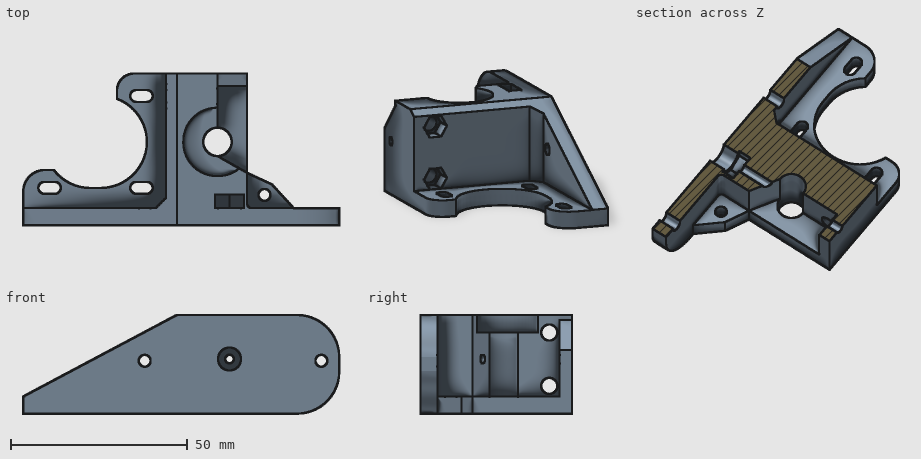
import cadquery as cq
import math

length = 89.5
width = 43.0
height = 28.0
plate_thickness = 4.85
plate_end_radius = 12.0
nose_height = 4.9
slope_top_x = 43.5

base_thickness = 4.85

block_left_x = 40.5
block_right_x = 63.4
corner_web = 3.0
block_root_radius = 1.25

shaft_x = 20.5
shaft_y = 23.6
motor_screw_pitch = 26.0
motor_travel = 3.0
motor_pilot_diameter = 26.0
motor_screw_diameter = 3.3
front_ear_top_y = 15.7
front_ear_radius = 6.2
rear_ear_left_x = 26.5
rear_ear_radius = 5.0

path_x = 55.0
path_y = shaft_y
path_diameter = 8.0
seat_radius = 9.7
seat_depth = 5.0

idler_face_angle = 29.5
rear_wall_thickness = 3.6
rear_wall_low_z = 18.1
lug_shoulder = (70.4, 11.6)
lug_tip_x = 76.6
hinge_x = 68.3
hinge_y = 8.6
hinge_diameter = 3.3

plate_hole_pitch = 50.0
first_plate_hole_x = 34.4
plate_hole_z = 15.0
plate_hole_diameter = 3.3

pivot_x = 58.4
pivot_z = 15.5
pivot_bore_diameter = 6.5
pivot_pilot_diameter = 2.4
pivot_nut_flats = 8.1
pivot_nut_back_y = 8.65

bolt_y = 36.5
bolt_zs = (7.9, 23.0)
bolt_diameter = 4.5
bolt_nut_flats = 6.0
bolt_nut_depth = 5.0


def hex_corner_diameter(flats):
    return flats / math.cos(math.radians(30))


def x_slot(x, y, diameter, depth):
    """Slot through the base, stretched along X by the motor travel."""
    return cq.Workplane("XY").center(x, y).slot2D(diameter + motor_travel, diameter).extrude(depth)


def y_cylinder(x, z, diameter, start_y, end_y):
    plane = cq.Workplane("XZ", origin=(x, start_y, z))
    return plane.circle(diameter / 2).extrude(start_y - end_y)


def side_plate():
    plate = cq.Workplane("XY").box(length, plate_thickness, height, centered=False)
    return plate.edges("|Y and >X").fillet(plate_end_radius)


def base():
    outline = [
        (0, 0),
        (block_right_x, 0),
        (block_right_x, width),
        (rear_ear_left_x, width),
        (rear_ear_left_x, front_ear_top_y),
        (0, front_ear_top_y),
    ]
    slab = cq.Workplane("XY").polyline(outline).close().extrude(base_thickness)
    front_ear = cq.selectors.NearestToPointSelector((0, front_ear_top_y, base_thickness / 2))
    rear_ear = cq.selectors.NearestToPointSelector((rear_ear_left_x, width, base_thickness / 2))
    return slab.edges(front_ear).fillet(front_ear_radius).edges(rear_ear).fillet(rear_ear_radius)


def block():
    """Upright block with a 45 degree web into the plate and a small radius at its other root."""
    inner_y = plate_thickness
    outline = (
        cq.Workplane("XY")
        .moveTo(block_left_x - corner_web, 0)
        .lineTo(block_left_x - corner_web, inner_y)
        .lineTo(block_left_x, inner_y + corner_web)
        .lineTo(block_left_x, width)
        .lineTo(block_right_x, width)
        .lineTo(block_right_x, inner_y + block_root_radius)
        .radiusArc((block_right_x + block_root_radius, inner_y), -block_root_radius)
        .lineTo(block_right_x + block_root_radius, 0)
        .close()
    )
    return outline.extrude(height)


def idler_face_y(x):
    """Y of the slanted idler face, which starts at the near side of the filament hole."""
    return path_y - path_diameter / 2 - (x - path_x) * math.tan(math.radians(idler_face_angle))


def hinge_lug():
    outline = [
        (block_right_x, 0),
        (block_right_x, idler_face_y(block_right_x)),
        lug_shoulder,
        (lug_tip_x, plate_thickness),
        (lug_tip_x, 0),
    ]
    lug = cq.Workplane("XY").polyline(outline).close().extrude(base_thickness)
    hinge_hole = cq.Workplane("XY").center(hinge_x, hinge_y).circle(hinge_diameter / 2).extrude(height)
    return lug.cut(hinge_hole)


def slope_cut():
    """Everything above the line from the nose of the plate up to the top face."""
    outline = [(0, nose_height), (slope_top_x, height), (0, height)]
    return cq.Workplane("XZ").polyline(outline).close().extrude(-width)


def motor_cuts():
    cuts = x_slot(shaft_x, shaft_y, motor_pilot_diameter, base_thickness)
    half_pitch = motor_screw_pitch / 2
    for side_x, side_y in ((-1, -1), (1, -1), (1, 1)):
        screw_x = shaft_x + side_x * half_pitch
        screw_y = shaft_y + side_y * half_pitch
        cuts = cuts.union(x_slot(screw_x, screw_y, motor_screw_diameter, base_thickness))
    return cuts


def filament_cuts():
    hole = cq.Workplane("XY").center(path_x, path_y).circle(path_diameter / 2).extrude(height)
    seat = (
        cq.Workplane("XY", origin=(path_x, path_y, height - seat_depth))
        .circle(seat_radius)
        .extrude(seat_depth)
    )
    solid_side = [
        (block_left_x, 0),
        (block_right_x, 0),
        (block_right_x, idler_face_y(block_right_x)),
        (path_x, idler_face_y(path_x)),
        (path_x, width),
        (block_left_x, width),
    ]
    seat = seat.intersect(cq.Workplane("XY").polyline(solid_side).close().extrude(height))
    return hole.union(seat)


def idler_cuts():
    """Opening for the idler, plus the 45 degree slope on top of the wall behind it."""
    wall_front_y = width - rear_wall_thickness
    opening = [
        (path_x, idler_face_y(path_x)),
        (block_right_x, idler_face_y(block_right_x)),
        (block_right_x, wall_front_y),
        (path_x, wall_front_y),
    ]
    cut = (
        cq.Workplane("XY", origin=(0, 0, base_thickness))
        .polyline(opening)
        .close()
        .extrude(height - base_thickness)
    )
    wall_high_z = rear_wall_low_z + block_right_x - path_x
    above_wall = [
        (path_x, wall_high_z),
        (block_right_x, rear_wall_low_z),
        (block_right_x, height),
        (path_x, height),
    ]
    wall_top = (
        cq.Workplane("XZ", origin=(0, width, 0)).polyline(above_wall).close().extrude(rear_wall_thickness)
    )
    return cut.union(wall_top)


def plate_screw_cuts():
    first = y_cylinder(first_plate_hole_x, plate_hole_z, plate_hole_diameter, 0, plate_thickness)
    return first.union(first.translate((plate_hole_pitch, 0, 0)))


def pivot_cuts():
    """Bore up to the nut, a hexagonal nut pocket open at the top, and a pilot hole beyond it."""
    bore = y_cylinder(pivot_x, pivot_z, pivot_bore_diameter, 0, pivot_nut_back_y)
    pilot = y_cylinder(pivot_x, pivot_z, pivot_pilot_diameter, 0, width)
    pocket_depth = pivot_nut_back_y - plate_thickness
    nut = (
        cq.Workplane("XZ", origin=(pivot_x, plate_thickness, pivot_z))
        .transformed(rotate=(0, 0, 90))
        .polygon(6, hex_corner_diameter(pivot_nut_flats))
        .extrude(-pocket_depth)
    )
    entry = cq.Workplane("XY").box(
        pivot_nut_flats, pocket_depth, height - pivot_z, centered=(True, False, False)
    )
    return bore.union(pilot).union(nut).union(entry.translate((pivot_x, plate_thickness, pivot_z)))


def bolt_cuts():
    cuts = cq.Workplane("XY")
    for bolt_z in bolt_zs:
        plane = cq.Workplane("YZ", origin=(block_left_x, bolt_y, bolt_z))
        shank = plane.circle(bolt_diameter / 2).extrude(block_right_x - block_left_x)
        nut = plane.polygon(6, hex_corner_diameter(bolt_nut_flats)).extrude(bolt_nut_depth)
        cuts = cuts.add(shank).add(nut)
    return cuts.combine()


result = side_plate().union(base()).union(block()).union(hinge_lug())
for cut in (
    slope_cut(),
    motor_cuts(),
    filament_cuts(),
    idler_cuts(),
    plate_screw_cuts(),
    pivot_cuts(),
    bolt_cuts(),
):
    result = result.cut(cut)